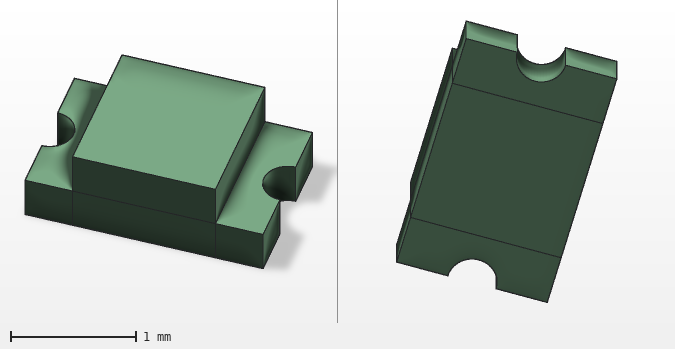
import cadquery as cq

length = 2.0
width = 1.25
height = 0.75
terminal_length = 0.4
notch_radius = 0.2

base_height = height / 2
lens_height = height - base_height
body_length = length - 2 * terminal_length


def block(size_x, size_z, center_x, bottom_z):
    """Full-width block centred on Y = 0 and standing on bottom_z."""
    return (
        cq.Workplane("XY")
        .box(size_x, width, size_z, centered=(True, True, False))
        .translate((center_x, 0, bottom_z))
    )


def make_substrate():
    """Middle of the base, between the two terminals."""
    return block(body_length, base_height, 0, 0)


def make_lens():
    """Raised block covering the substrate."""
    return block(body_length, lens_height, 0, base_height)


def make_terminal(side):
    """End terminal; side is -1 for the -X end and +1 for the +X end."""
    center_x = side * (length - terminal_length) / 2
    notch = (
        cq.Workplane("XY")
        .center(side * length / 2, 0)
        .circle(notch_radius)
        .extrude(base_height)
    )
    return block(terminal_length, base_height, center_x, 0).cut(notch)


substrate = make_substrate()
lens = make_lens()
terminals = [make_terminal(side) for side in (-1, 1)]

result = cq.Compound.makeCompound(
    [substrate.val(), lens.val(), *[terminal.val() for terminal in terminals]]
)